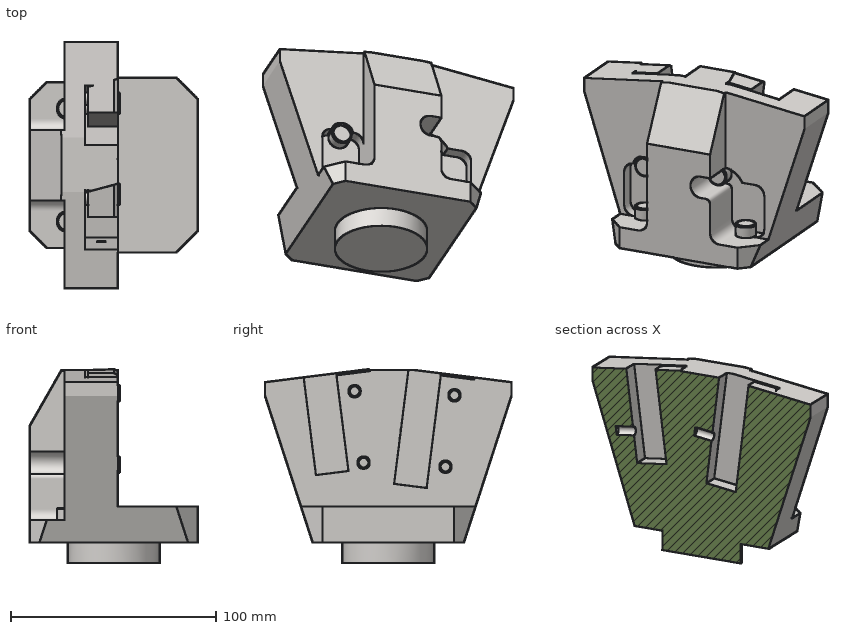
import cadquery as cq
import math

foot_length = 82.0
foot_bottom_half_width = 36.8
rear_foot_height = 10.9
front_foot_height = 17.6
corner_start = 32.0
spigot_diameter = 45.0
spigot_height = 10.0

plate_back_x = -24.0
plate_front_x = 2.0
plate_half_width = 60.0
plate_flare_top = 71.3
eave_height = 78.1
crest_height = 84.0
crest_half_width = 13.2

rib_half_width = 17.2
rib_shoulder_height = 56.8
rib_crest_x = -25.5

pocket_outer_y = 38.2
pocket_top = 38.0
pocket_floor_x = -17.3
pocket_radius = 5.0
relief_diameter = 11.0
relief_corner_radius = 2.4
relief_ramp_radius = 12.0
relief_ramp_end_y = -26.2

head_diameter = 10.0
head_height = 6.0
head_chamfer = 0.6
shank_diameter = 6.0
shank_tip_x = 3.1
foot_screw_x = -22.7
foot_screw_y = 27.5

slot_floor_x = -13.9
slot_width = 29.0
cut_overrun = 1.2
seat_flat_end_x = -10.2
seat_angle = 15.0
blade_back_x = -12.5
blade_thickness = 13.1
blade_chamfer_x = 1.8
blade_chamfer_z = 1.1
screw_from_seat = 5.3
upper_screw_depth = 9.8
screw_spacing = 35.0
cross_hole_diameter = 4.2
cross_hole_x = -6.0
cross_hole_slot_depth = 31.8
cross_hole_length = 9.6

foot_end_x = foot_length / 2
roof_slope = (crest_height - eave_height) / (plate_half_width - crest_half_width)
roof_angle = math.degrees(math.atan(roof_slope))
relief_radius = relief_diameter / 2
lower_screw_depth = upper_screw_depth + screw_spacing

slots = [(1, 25.7, 56.3), (-1, 0.8, 48.0)]


def box(x0, x1, y0, y1, z0, z1):
    return cq.Workplane("XY").box(x1 - x0, y1 - y0, z1 - z0, centered=False).translate((x0, y0, z0))


def extrude_along_x(sketch_points, x0, x1):
    return cq.Workplane("YZ").workplane(offset=x0).polyline(sketch_points).close().extrude(x1 - x0)


def x_cylinder(diameter, y, z, x0, x1):
    return cq.Workplane("YZ").workplane(offset=x0).center(y, z).circle(diameter / 2).extrude(x1 - x0)


def silhouette(x0, x1):
    """Flared plate outline with its roofs, between two X positions."""
    right_side = [
        (foot_bottom_half_width, 0),
        (plate_half_width, plate_flare_top),
        (plate_half_width, eave_height),
        (crest_half_width, crest_height),
    ]
    left_side = [(-y, z) for y, z in reversed(right_side)]
    return extrude_along_x(right_side + left_side, x0, x1)


def make_foot():
    foot = silhouette(-foot_end_x, foot_end_x)
    reach = plate_half_width
    corner_x = foot_end_x - (reach - corner_start)
    plan = [
        (foot_end_x, -corner_start), (foot_end_x, corner_start), (corner_x, reach),
        (-corner_x, reach), (-foot_end_x, corner_start), (-foot_end_x, -corner_start),
        (-corner_x, -reach), (corner_x, -reach),
    ]
    foot = foot.intersect(cq.Workplane("XY").polyline(plan).close().extrude(front_foot_height))
    above_rear = box(-foot_end_x, plate_back_x, -reach, reach, rear_foot_height, front_foot_height)
    spigot = cq.Workplane("XY").circle(spigot_diameter / 2).extrude(-spigot_height)
    return foot.cut(above_rear).union(spigot)


def make_rib():
    profile = [
        (-foot_end_x, 0), (-foot_end_x, rib_shoulder_height), (rib_crest_x, crest_height),
        (plate_back_x, crest_height), (plate_back_x, 0),
    ]
    root_half_width = rib_half_width + pocket_radius
    rib = cq.Workplane("XZ").polyline(profile).close().extrude(root_half_width, both=True)
    rib = rib.intersect(silhouette(-foot_end_x, plate_back_x))
    for side in (1, -1):
        outside = (
            box(-foot_end_x - cut_overrun, plate_back_x, rib_half_width, plate_half_width,
                rear_foot_height, crest_height)
            .edges("|X and <Y and <Z").fillet(pocket_radius)
        )
        rib = rib.cut(outside if side > 0 else outside.mirror("XZ"))
    return rib


def slot_plane(side):
    """Plane in the roof: local x is X, local y points towards +Y, the normal points outwards."""
    angle = math.radians(roof_angle) * side
    return cq.Plane(
        origin=(0, side * crest_half_width, crest_height),
        xDir=(1, 0, 0),
        normal=(0, math.sin(angle), math.cos(angle)),
    )


def screw_centre(side, seat, depth):
    """Y and Z of a blade screw at a given depth below the roof."""
    point = slot_plane(side).toWorldCoords((0, seat - screw_from_seat, -depth))
    return point.y, point.z


def make_head_pocket(side):
    pocket = box(plate_back_x, pocket_floor_x, rib_half_width, pocket_outer_y, rear_foot_height, pocket_top)
    pocket = pocket.edges("|X").fillet(pocket_radius)
    return pocket if side > 0 else pocket.mirror("XZ")


def make_rib_relief(screw_y, screw_z):
    """Passage through the rib flank that reaches the blade screw on the -Y side."""
    top = screw_z + relief_radius
    bottom = screw_z - relief_radius
    drop = top - pocket_top
    ramp_angle = math.acos(1 - drop / relief_ramp_radius)
    ramp_start_y = relief_ramp_end_y + relief_ramp_radius * math.sin(ramp_angle)
    ramp_middle = (
        ramp_start_y - relief_ramp_radius * math.sin(ramp_angle / 2),
        top - relief_ramp_radius * (1 - math.cos(ramp_angle / 2)),
    )
    corner = relief_corner_radius
    corner_middle = (
        -rib_half_width + corner * (1 - math.sqrt(0.5)),
        bottom - corner * (1 - math.sqrt(0.5)),
    )
    return (
        cq.Workplane("YZ").workplane(offset=-foot_end_x)
        .moveTo(screw_y, top)
        .lineTo(ramp_start_y, top)
        .threePointArc(ramp_middle, (relief_ramp_end_y, pocket_top))
        .lineTo(relief_ramp_end_y, bottom - corner)
        .lineTo(-rib_half_width, bottom - corner)
        .threePointArc(corner_middle, (-rib_half_width + corner, bottom))
        .lineTo(screw_y, bottom)
        .threePointArc((screw_y + relief_radius, screw_z), (screw_y, top))
        .close()
        .extrude(pocket_floor_x + foot_end_x)
    )


def seat_y(x, seat):
    """Leaning part of the seat at a given X."""
    return seat + (x - seat_flat_end_x) * math.tan(math.radians(seat_angle))


def make_slot(side, seat, depth):
    plane = slot_plane(side)
    outer_x = plate_front_x + cut_overrun
    plan = [
        (slot_floor_x, seat - slot_width), (slot_floor_x, seat), (seat_flat_end_x, seat),
        (outer_x, seat_y(outer_x, seat)), (outer_x, seat - slot_width),
    ]
    slot = cq.Workplane(plane).workplane(offset=cut_overrun).polyline(plan).close()
    return slot.extrude(-depth - cut_overrun)


def make_blade(side, seat, depth):
    plan = [
        (blade_back_x, seat - blade_thickness), (blade_back_x, seat_y(blade_back_x, seat)),
        (plate_front_x, seat_y(plate_front_x, seat)), (plate_front_x, seat - blade_thickness),
    ]
    plane = slot_plane(side)
    blade = cq.Workplane(plane).polyline(plan).close().extrude(-depth)
    bevel = (
        cq.Workplane(cq.Plane(plane.toWorldCoords((0, seat - slot_width, 0)), plane.xDir, -plane.yDir))
        .moveTo(plate_front_x, 0)
        .lineTo(plate_front_x - blade_chamfer_x, 0)
        .lineTo(plate_front_x, -blade_chamfer_z)
        .close()
        .extrude(-2 * slot_width)
    )
    return blade.cut(bevel)


def make_cross_hole(side, seat):
    plane = slot_plane(side)
    start = plane.toWorldCoords((cross_hole_x, seat - slot_width + cut_overrun, -cross_hole_slot_depth))
    hole_plane = cq.Plane(start, plane.xDir, -plane.yDir)
    return cq.Workplane(hole_plane).circle(cross_hole_diameter / 2).extrude(cross_hole_length + cut_overrun)


def make_shank(y, z):
    shank = x_cylinder(shank_diameter, y, z, pocket_floor_x, shank_tip_x)
    return shank.faces(">X").chamfer(head_chamfer)


def make_blade_screw_head(y, z):
    head = x_cylinder(head_diameter, y, z, pocket_floor_x - head_height, pocket_floor_x)
    return head.faces("<X").chamfer(head_chamfer)


def make_foot_screw_head(side):
    head = cq.Workplane("XY").circle(head_diameter / 2).extrude(head_height)
    head = head.faces(">Z").chamfer(head_chamfer)
    return head.translate((foot_screw_x, side * foot_screw_y, rear_foot_height))


body = make_foot().union(silhouette(plate_back_x, plate_front_x)).union(make_rib())

for side, seat, depth in slots:
    lower_y, lower_z = screw_centre(side, seat, lower_screw_depth)
    body = body.cut(make_slot(side, seat, depth)).cut(make_cross_hole(side, seat))
    body = body.cut(make_head_pocket(side))
    body = body.cut(x_cylinder(relief_diameter, lower_y, lower_z, plate_back_x, pocket_floor_x))
    if side < 0:
        body = body.cut(make_rib_relief(lower_y, lower_z))

for side, seat, depth in slots:
    upper_y, upper_z = screw_centre(side, seat, upper_screw_depth)
    lower_y, lower_z = screw_centre(side, seat, lower_screw_depth)
    body = body.union(make_blade(side, seat, depth))
    body = body.union(make_shank(upper_y, upper_z))
    body = body.union(make_shank(lower_y, lower_z))
    body = body.union(make_blade_screw_head(lower_y, lower_z))
    body = body.union(make_foot_screw_head(side))

result = body